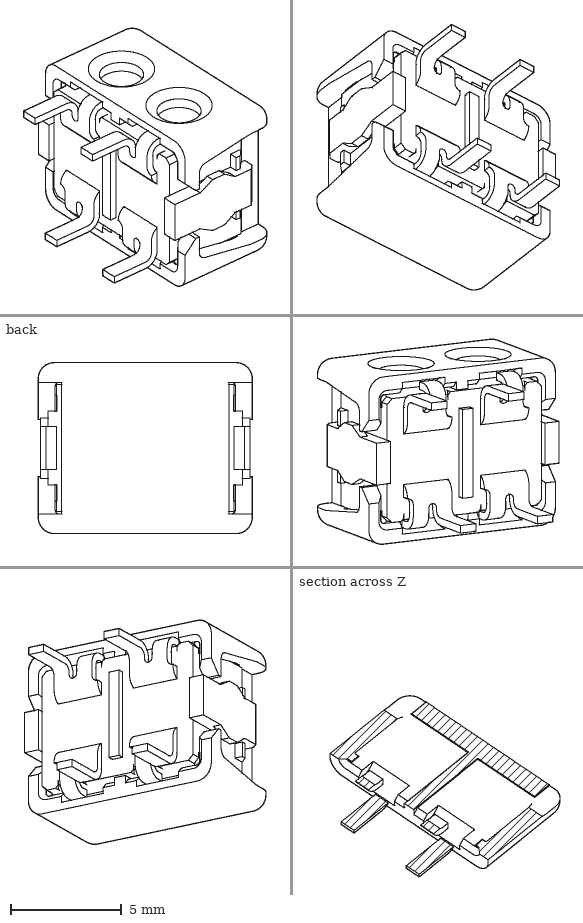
import cadquery as cq
import math


CASE_X = 9.7
CASE_Z = 7.75
CASE_Y = 5.29
CASE_ROUND = 0.75
CAVITY_X = 8.15
CAVITY_Z = 5.96
CAVITY_Y = 4.29
CAVITY_CORNER = 0.17
MOUTH_BEVEL = 0.25
OVERCUT = 0.1
SPACER_X = 0.59

PITCH = 4.0
HOLE_Y = 2.09
HOLE_R = 1.0
SINK_R = 1.5
SINK_DEPTH = 0.29
HOLE_DEPTH = 0.76

SIDE_OPEN_Z = CAVITY_Z / 2
SIDE_FLOOR_X = 3.78
TAPER_Y = 3.95
HOOK_Y = 0.85
HOOK_ROUND = 0.42
HOOK_ROOT_Z = 2.55
HOOK_TIP_Z = 1.29
HOOK_TIP_Y = 0.64

INSERT_X = 8.01
INSERT_Z = 5.74
INSERT_FRONT = -0.2
INSERT_CORNER = 0.24
RAISED_FRONT = -0.51
RIB_X = 0.54
RIB_Z = 4.11

LATCH_X = 4.74
LATCH_Z = 0.97
LATCH_BEVEL = 0.25
BULGE_THICK = 0.39
BULGE_Z = 1.37
BULGE_START = 1.0
BULGE_TOP_START = 1.74
BULGE_TOP_END = 2.44
BULGE_END = 3.075
POST_Z = 1.67
POST_Y = 3.43
POST_BACK = 3.68
POST_X = SIDE_FLOOR_X + CAVITY_Y - POST_BACK

PAD_Z = 2.4
PAD_FRONT = 0.29
PAD_BACK = 0.78

STRIP = 0.35
BEND_IN = 0.35
BEND_OUT = BEND_IN + STRIP
LEAD_END = -2.76
LEAD_Z = 3.09
TERMINAL_X = 2.31
TERMINAL_ROOT_Z = 1.775
FINGER_BEND_Z = 2.63
FINGER_END = 0.485
LEAD_RIGHT = -0.35
FINGER_LEFT = 0.05
FINGER_RIGHT = 0.85
SPLIT_BOTTOM_Z = 2.12
NECK_ROUND = 0.29

NOTCH_X = 2.21
NOTCH_Z = 3.51
NOTCH_R = 1.2

RELIEF_LEFT = -0.165
RELIEF_RIGHT = 1.14
RELIEF_FLARE = 0.14


def block(x0, x1, y0, y1, z0, z1):
    """Box between two opposite corners."""
    return cq.Workplane("XY").box(x1 - x0, y1 - y0, z1 - z0, False).translate((x0, y0, z0))


def across(profile, x0, x1):
    """Extrude a closed YZ outline from x0 to x1."""
    return profile.extrude(x1 - x0).translate((x0, 0, 0))


def mirrored(body, plane):
    """The body together with its mirror image."""
    return body.union(body.mirror(plane))


def arc_mid(centre_a, centre_b, radius, sign_a, sign_b):
    """Middle point of a quarter arc."""
    offset = radius * math.sqrt(0.5)
    return (centre_a + sign_a * offset, centre_b + sign_b * offset)


def hole():
    """Cutter for one countersunk blind hole in the top, at x = 0."""
    drill = cq.Workplane("XY").circle(HOLE_R).extrude(-HOLE_DEPTH)
    cone = cq.Solid.makeCone(HOLE_R, SINK_R, SINK_DEPTH, (0, 0, -SINK_DEPTH))
    return drill.union(cq.Workplane(cone)).translate((0, HOLE_Y, CASE_Z / 2))


def side_opening():
    """Opening in the -X side of the case; what is left near the rim forms the two hooks."""
    arc_y, arc_z = HOOK_Y + HOOK_ROUND, HOOK_ROOT_Z - HOOK_ROUND
    rim_z = HOOK_TIP_Z + HOOK_TIP_Y
    half = (
        cq.Workplane("YZ")
        .moveTo(CASE_Y, 0)
        .lineTo(CASE_Y, SIDE_OPEN_Z)
        .lineTo(TAPER_Y, SIDE_OPEN_Z)
        .lineTo(arc_y, HOOK_ROOT_Z)
        .threePointArc(arc_mid(arc_y, arc_z, HOOK_ROUND, -1, 1), (HOOK_Y, arc_z))
        .lineTo(HOOK_Y, HOOK_TIP_Z)
        .lineTo(HOOK_TIP_Y, HOOK_TIP_Z)
        .lineTo(-OVERCUT, rim_z + OVERCUT)
        .lineTo(-OVERCUT, 0)
        .close()
    )
    return mirrored(across(half, -CASE_X / 2, -SIDE_FLOOR_X), "XY")


def case_notch():
    """Rounded relief in the case rim, for a terminal centred on x = 0 in the upper wall."""
    centre_z = NOTCH_Z - NOTCH_R
    end_z = CAVITY_Z / 2
    end_angle = math.asin((end_z - centre_z) / NOTCH_R)
    mid_angle = (end_angle + math.pi / 2) / 2
    mid = (NOTCH_R * math.cos(mid_angle), centre_z + NOTCH_R * math.sin(mid_angle))
    profile = (
        cq.Workplane("YZ")
        .moveTo(0, end_z)
        .lineTo(0, NOTCH_Z)
        .threePointArc(mid, (NOTCH_R * math.cos(end_angle), end_z))
        .close()
    )
    return across(profile, -NOTCH_X / 2, NOTCH_X / 2)


def insert_relief():
    """Cutter that rounds the upper insert edge below a finger centred near x = 0."""
    top = INSERT_Z / 2
    outline = (
        cq.Workplane("XZ", origin=(0, INSERT_FRONT + STRIP, 0))
        .moveTo(RELIEF_LEFT, top)
        .lineTo(RELIEF_LEFT, top - STRIP)
        .lineTo(RELIEF_RIGHT, top - STRIP)
        .lineTo(RELIEF_RIGHT, top - RELIEF_FLARE)
        .lineTo(RELIEF_RIGHT + RELIEF_FLARE, top)
        .close()
        .extrude(STRIP)
    )
    rounded_edge = (
        cq.Workplane("YZ")
        .center(INSERT_FRONT + STRIP, top - STRIP)
        .circle(STRIP)
        .extrude(PITCH / 2, both=True)
    )
    return outline.cut(rounded_edge)


def terminal():
    """Terminal in the upper half, centred on x = 0: plate, lead and curled finger."""
    back = INSERT_FRONT
    front = INSERT_FRONT - STRIP
    curl_y = INSERT_FRONT + BEND_IN
    left, right = -TERMINAL_X / 2, TERMINAL_X / 2
    split_r = (FINGER_LEFT - LEAD_RIGHT) / 2
    split_z = SPLIT_BOTTOM_Z + split_r
    lead_bend_y = front - BEND_IN
    lead_bend_z = LEAD_Z - BEND_OUT
    neck_x = FINGER_RIGHT + NECK_ROUND
    neck_z = TERMINAL_ROOT_Z + NECK_ROUND
    root = (
        cq.Workplane("YZ")
        .moveTo(curl_y, split_z)
        .lineTo(front, split_z)
        .lineTo(front, TERMINAL_ROOT_Z)
        .threePointArc(
            arc_mid(curl_y, TERMINAL_ROOT_Z, BEND_OUT, -1, -1), (curl_y, TERMINAL_ROOT_Z - BEND_OUT)
        )
        .close()
    )
    beside_neck = (
        cq.Workplane("XZ", origin=(0, back, 0))
        .moveTo(right, TERMINAL_ROOT_Z)
        .lineTo(neck_x, TERMINAL_ROOT_Z)
        .threePointArc(arc_mid(neck_x, neck_z, NECK_ROUND, -1, -1), (FINGER_RIGHT, neck_z))
        .lineTo(FINGER_RIGHT, split_z)
        .lineTo(right, split_z)
        .close()
        .extrude(STRIP)
    )
    split = (
        cq.Workplane("XZ", origin=(0, back, 0))
        .moveTo(LEAD_RIGHT, split_z)
        .threePointArc((FINGER_LEFT - split_r, SPLIT_BOTTOM_Z), (FINGER_LEFT, split_z))
        .close()
        .extrude(STRIP)
    )
    lead = (
        cq.Workplane("YZ")
        .moveTo(back, split_z)
        .lineTo(back, lead_bend_z)
        .threePointArc(arc_mid(lead_bend_y, lead_bend_z, BEND_OUT, 1, 1), (lead_bend_y, LEAD_Z))
        .lineTo(LEAD_END, LEAD_Z)
        .lineTo(LEAD_END, LEAD_Z - STRIP)
        .lineTo(lead_bend_y, LEAD_Z - STRIP)
        .threePointArc(arc_mid(lead_bend_y, lead_bend_z, BEND_IN, 1, 1), (front, lead_bend_z))
        .lineTo(front, split_z)
        .close()
    )
    finger = (
        cq.Workplane("YZ")
        .moveTo(front, split_z)
        .lineTo(front, FINGER_BEND_Z)
        .threePointArc(arc_mid(curl_y, FINGER_BEND_Z, BEND_OUT, -1, 1), (curl_y, FINGER_BEND_Z + BEND_OUT))
        .lineTo(FINGER_END, FINGER_BEND_Z + BEND_OUT)
        .lineTo(FINGER_END, FINGER_BEND_Z + BEND_IN)
        .lineTo(curl_y, FINGER_BEND_Z + BEND_IN)
        .threePointArc(arc_mid(curl_y, FINGER_BEND_Z, BEND_IN, -1, 1), (back, FINGER_BEND_Z))
        .lineTo(back, split_z)
        .close()
    )
    return (
        across(root, left, right)
        .cut(beside_neck)
        .cut(split)
        .union(across(lead, left, LEAD_RIGHT))
        .union(across(finger, FINGER_LEFT, FINGER_RIGHT))
    )


def at_terminals(body):
    """Copies at both upper places and, turned half a turn about Y, at both lower places."""
    pair = body.translate((-PITCH / 2, 0, 0)).union(body.translate((PITCH / 2, 0, 0)))
    return pair.union(pair.rotate((0, 0, 0), (0, 1, 0), 180))


def case():
    """Hollow case with rounded back, bevelled mouth, open sides and top holes."""
    shell = (
        block(-CASE_X / 2, CASE_X / 2, 0, CASE_Y, -CASE_Z / 2, CASE_Z / 2)
        .edges("|Y or >Y")
        .fillet(CASE_ROUND)
    )
    cavity = (
        block(-CAVITY_X / 2, CAVITY_X / 2, 0, CAVITY_Y, -CAVITY_Z / 2, CAVITY_Z / 2)
        .edges("|Y")
        .fillet(CAVITY_CORNER)
    )
    mouth_x, mouth_z = CAVITY_X + 2 * MOUTH_BEVEL, CAVITY_Z + 2 * MOUTH_BEVEL
    mouth = (
        block(-mouth_x / 2, mouth_x / 2, -OVERCUT, MOUTH_BEVEL, -mouth_z / 2, mouth_z / 2)
        .edges("|Y")
        .fillet(CAVITY_CORNER + MOUTH_BEVEL)
        .faces(">Y")
        .chamfer(MOUTH_BEVEL)
    )
    spacer = block(
        -SPACER_X / 2, SPACER_X / 2, 0, CAVITY_Y, INSERT_Z / 2, CAVITY_Z / 2 + MOUTH_BEVEL
    )
    body = shell.cut(cavity).cut(mouth).union(mirrored(spacer, "XY"))
    body = body.cut(mirrored(side_opening(), "YZ")).cut(at_terminals(case_notch()))
    for x in (-PITCH / 2, PITCH / 2):
        body = body.cut(hole().translate((x, 0, 0)))
    return body


def latch():
    """Latch bar with its bulge and posts on the -X side."""
    bar = (
        block(-LATCH_X, -INSERT_X / 2, RAISED_FRONT, CAVITY_Y, -LATCH_Z, LATCH_Z)
        .edges("<X and >Y")
        .chamfer(LATCH_BEVEL)
    )
    bulge = (
        cq.Workplane("YZ")
        .moveTo(BULGE_START, 0)
        .lineTo(BULGE_START, LATCH_Z)
        .lineTo(BULGE_TOP_START, BULGE_Z)
        .lineTo(BULGE_TOP_END, BULGE_Z)
        .lineTo(BULGE_END, LATCH_Z)
        .lineTo(BULGE_END, 0)
        .close()
    )
    bulges = mirrored(across(bulge, -LATCH_X, -LATCH_X + BULGE_THICK), "XY")
    posts = (
        cq.Workplane("XY")
        .moveTo(-SIDE_FLOOR_X, POST_Y)
        .lineTo(-POST_X, POST_Y)
        .lineTo(-POST_X, POST_BACK)
        .lineTo(-SIDE_FLOOR_X, CAVITY_Y)
        .close()
        .extrude(POST_Z, both=True)
    )
    return bar.union(bulges).union(posts)


def insert():
    """Insert block with front rib, corner pads and side latches."""
    half_x, half_z = INSERT_X / 2, INSERT_Z / 2
    body = (
        block(-half_x, half_x, PAD_FRONT, CAVITY_Y, -half_z, half_z)
        .edges("|Z and >Y")
        .chamfer(half_x - SIDE_FLOOR_X)
    )
    nose = (
        block(-half_x, half_x, INSERT_FRONT, PAD_FRONT, -half_z, half_z)
        .edges("|Y")
        .chamfer(INSERT_CORNER)
    )
    rib = block(-RIB_X / 2, RIB_X / 2, RAISED_FRONT, 0, -RIB_Z / 2, RIB_Z / 2)
    pad = block(-CAVITY_X / 2, -SIDE_FLOOR_X, PAD_FRONT, PAD_BACK, PAD_Z, CAVITY_Z / 2)
    body = body.union(nose).union(rib)
    body = body.union(mirrored(mirrored(pad, "XY").union(latch()), "YZ"))
    return body.cut(at_terminals(insert_relief()))


result = case().union(insert()).union(at_terminals(terminal()))